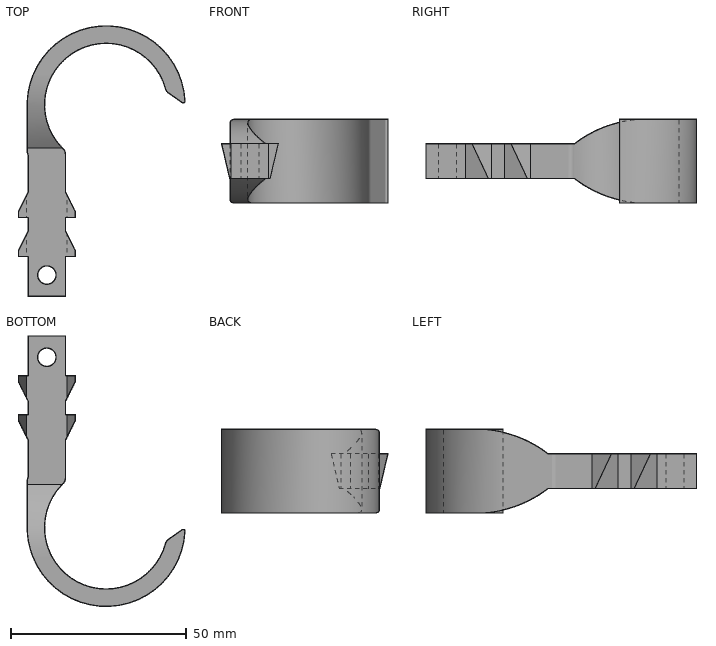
import cadquery as cq
import math


outer_radius = 22.5
wall = 5.0
inner_radius = outer_radius - wall
hook_height = 24.0
tip_inner_angle = math.radians(12.7)
tip_outer_round = 0.55
tip_inner_round = 2.0

total_length = 77.1
shank_width = 10.6
shank_height = 10.0
shank_center_x = -16.9
shank_left = shank_center_x - shank_width / 2
shank_right = shank_center_x + shank_width / 2
shank_end_y = outer_radius - total_length
neck_round = 2.0

step_top_y = shank_end_y + 41.15
step_bottom_y = shank_end_y + 40.1

taper_start_y = shank_end_y + 42.3
taper_length = 20.6

barb_base_offsets = (11.3, 22.4)
barb_width_top = 16.2
barb_width_bottom = 11.5
barb_land = 1.8
barb_length = 7.3

hole_diameter = 5.2
hole_offset = 6.1


def make_hook_and_shank():
    """Full-height body with the combined outline of hook and shank."""
    neck_y = -math.sqrt(inner_radius**2 - shank_right**2)
    tip_inner = (inner_radius * math.cos(tip_inner_angle), inner_radius * math.sin(tip_inner_angle))
    body = (
        cq.Workplane("XY")
        .workplane(offset=-hook_height / 2)
        .moveTo(outer_radius, 0)
        .threePointArc((0, outer_radius), (-outer_radius, 0))
        .lineTo(-outer_radius, step_top_y)
        .lineTo(shank_left, step_bottom_y)
        .lineTo(shank_left, shank_end_y)
        .lineTo(shank_right, shank_end_y)
        .lineTo(shank_right, neck_y)
        .threePointArc((-inner_radius, 0), (0, inner_radius))
        .threePointArc(
            (inner_radius * math.cos(math.pi / 4), inner_radius * math.sin(math.pi / 4)),
            tip_inner,
        )
        .close()
        .extrude(hook_height)
    )
    rounded_corners = (
        ((outer_radius, 0), tip_outer_round),
        (tip_inner, tip_inner_round),
        ((shank_right, neck_y), neck_round),
    )
    for (x, y), radius in rounded_corners:
        body = body.edges(cq.selectors.NearestToPointSelector((x, y, 0))).fillet(radius)
    return body


def make_thinning_cutter():
    """Material above the shank, bounded by an arc that runs out tangent to the hook's top."""
    shank_top = shank_height / 2
    hook_top = hook_height / 2
    rise = hook_top - shank_top
    arc_radius = (taper_length**2 + rise**2) / (2 * rise)
    mid_run = taper_length / 2
    mid_drop = arc_radius - math.sqrt(arc_radius**2 - mid_run**2)
    taper_end_y = taper_start_y + taper_length
    return (
        cq.Workplane("YZ")
        .workplane(offset=-outer_radius)
        .moveTo(shank_end_y, shank_top)
        .lineTo(taper_start_y, shank_top)
        .threePointArc((taper_end_y - mid_run, hook_top - mid_drop), (taper_end_y, hook_top))
        .lineTo(shank_end_y, hook_top)
        .close()
        .extrude(outer_radius)
    )


def make_barb(base_y):
    """Pair of barbs: an arrowhead outline trimmed to a section narrowing downward."""
    half_width = barb_width_top / 2
    arrowhead = (
        cq.Workplane("XY")
        .workplane(offset=-shank_height / 2)
        .polyline([
            (shank_center_x - half_width, base_y),
            (shank_center_x + half_width, base_y),
            (shank_center_x + half_width, base_y + barb_land),
            (shank_right, base_y + barb_length),
            (shank_left, base_y + barb_length),
            (shank_center_x - half_width, base_y + barb_land),
        ])
        .close()
        .extrude(shank_height)
    )
    half_bottom = barb_width_bottom / 2
    section = (
        cq.Workplane("XZ", origin=(shank_center_x, base_y, 0))
        .polyline([
            (-half_bottom, -shank_height / 2),
            (half_bottom, -shank_height / 2),
            (half_width, shank_height / 2),
            (-half_width, shank_height / 2),
        ])
        .close()
        .extrude(-barb_length)
    )
    return arrowhead.intersect(section)


thinning = make_thinning_cutter()
result = make_hook_and_shank().cut(thinning).cut(thinning.mirror("XY"))

for base_offset in barb_base_offsets:
    result = result.union(make_barb(shank_end_y + base_offset))

hole = (
    cq.Workplane("XY")
    .center(shank_center_x, shank_end_y + hole_offset)
    .circle(hole_diameter / 2)
    .extrude(shank_height / 2, both=True)
)
result = result.cut(hole)